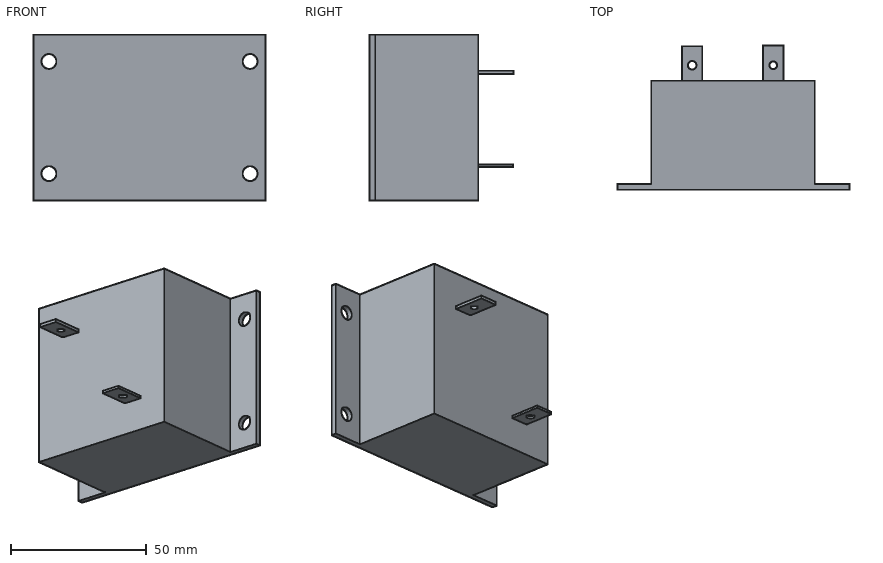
import cadquery as cq

plate_width = 85.5
height = 61.1
plate_thickness = 2.2
mount_hole_diameter = 5.4
mount_hole_spacing_x = 74.0
mount_hole_spacing_z = 41.3

total_depth = 53.2
long_terminal_length = 13.0
block_back = total_depth - long_terminal_length
block_width = 60.25
block_center_x = -0.2

terminal_width = 7.6
terminal_hole_offset = 5.6

lower_terminal_length = 12.7
lower_terminal_thickness = 0.9
lower_terminal_hole_diameter = 3.1
lower_terminal_x = -15.2
lower_terminal_z = -height / 2 + 12.8

upper_terminal_thickness = 1.2
upper_terminal_hole_diameter = 2.7
upper_terminal_x = 14.6
upper_terminal_z = -height / 2 + 47.2


def make_housing():
    """Plate and block in one piece, with four mounting holes through the flanges."""
    plate = cq.Workplane("XY").box(plate_width, plate_thickness, height, centered=(True, False, True))
    block = (
        cq.Workplane("XY")
        .box(block_width, block_back, height, centered=(True, False, True))
        .translate((block_center_x, 0, 0))
    )
    mount_holes = (
        cq.Workplane("XZ")
        .rarray(mount_hole_spacing_x, mount_hole_spacing_z, 2, 2)
        .circle(mount_hole_diameter / 2)
        .extrude(-plate_thickness)
    )
    return plate.union(block).cut(mount_holes)


def make_terminal(length, thickness, hole_diameter, x, z):
    """Flat blade pointing along +Y, with a hole through its thickness."""
    blade = cq.Workplane("XY").box(terminal_width, length, thickness, centered=(True, False, True))
    hole = (
        cq.Workplane("XY")
        .center(0, terminal_hole_offset)
        .circle(hole_diameter / 2)
        .extrude(thickness / 2, both=True)
    )
    return blade.cut(hole).translate((x, block_back, z))


housing = make_housing()

terminal_specs = [
    (
        lower_terminal_length,
        lower_terminal_thickness,
        lower_terminal_hole_diameter,
        lower_terminal_x,
        lower_terminal_z,
    ),
    (
        long_terminal_length,
        upper_terminal_thickness,
        upper_terminal_hole_diameter,
        upper_terminal_x,
        upper_terminal_z,
    ),
]
terminals = [make_terminal(*spec).val() for spec in terminal_specs]

result = cq.Compound.makeCompound([housing.val(), *terminals])